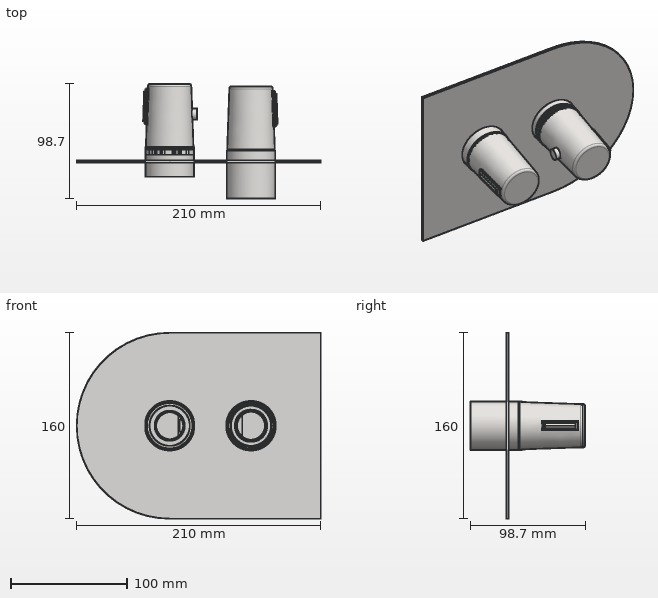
import cadquery as cq
import math


PLATE_RADIUS = 80.0
PLATE_LENGTH = 210.0
PLATE_THICKNESS = 2.0
KNOB_SPACING = 70.0
HOLE_DIA = 42.5

SLEEVE_DIA = 42.0
LEFT_SLEEVE_FRONT = -13.2
LEFT_SLEEVE_BACK = 12.2
LEFT_BORE_DIA = 40.5
LEFT_LIP_FRONT = 10.7
LIP_BORE_DIA = 34.9
RIGHT_SLEEVE_FRONT = -32.0
RIGHT_SLEEVE_BACK = 9.5
RIGHT_BORE_DIA = 34.9
RIGHT_SLEEVE_CHAMFER = 0.2
MOUTH_DIA = 40.7
MOUTH_DEPTH = 0.8

BUSHING_DIA = 39.0
BUSHING_END_DEPTH = 8.0
BUSHING_ENTRY_DIA = 36.1
ENTRY_CHAMFER_DEPTH = 1.7
ENTRY_DEPTH = 2.5
ENTRY_CONE_DEPTH = 3.5

TOOTH_FRONT = 5.7
TOOTH_BACK = 10.3
TOOTH_COUNT = 120
TOOTH_ROOT_DIA = 40.1
TOOTH_TIP_DIA = 38.8

KNOB_LENGTH = 54.2
LEFT_KNOB_FRONT = 12.5
RIGHT_KNOB_FRONT = 10.5
KNOB_BASE_DIA = 41.2
KNOB_TOP_DIA = 37.4
KNOB_TOP_FILLET = 2.0
SKIRT_BASE_DIA = 39.0
SKIRT_FLOOR_DIA = 34.5
SKIRT_DEPTH = 16.8
SPINDLE_DEPTH = 42.0
LEFT_HUB_DIA = 26.0
LEFT_SPINDLE_DIA = 23.0
RIGHT_HUB_DIA = 28.0
RIGHT_SPINDLE_DIA = 24.0
HUB_CHAMFER = 0.6
KEY_WIDTH = 15.1
KEY_THICKNESS = 5.2
KEY_OFFSET = 7.4
STEP_WIDTH = 10.0
STEP_OFFSET = 8.8
STEP_FRONT = 21.0

SCREW_DIA = 9.9
SCREW_HEIGHT = 28.1
SCREW_INNER = 10.5
SCREW_OUTER = 23.5

TAB_LENGTH = 31.3
TAB_WIDTH = 8.2
TAB_MIDDLE = 34.9
TAB_SEAT = 1.0
TAB_RISE = 2.0
TAB_BEVEL = 1.3
RIDGE_LENGTH = 25.6
RIDGE_WIDTH = 4.6
RIDGE_RISE = 1.0

TAPER_ANGLE = math.degrees(math.atan((KNOB_BASE_DIA - KNOB_TOP_DIA) / 2 / KNOB_LENGTH))


def cylinder(diameter, front, back):
    """Solid cylinder around the Y axis from Y = front to Y = back."""
    return cq.Workplane("XZ", origin=(0, front, 0)).circle(diameter / 2).extrude(front - back)


def tube(outer, inner, front, back):
    return cylinder(outer, front, back).cut(cylinder(inner, front, back))


def cone(front_diameter, back_diameter, length):
    """Cone frustum around the Y axis, from Y = 0 to Y = length."""
    outline = [(0, 0), (front_diameter / 2, 0), (back_diameter / 2, length), (0, length)]
    return cq.Workplane("XY").polyline(outline).close().revolve(360, (0, 0, 0), (0, 1, 0))


def make_plate():
    outline = (
        cq.Workplane("XZ", origin=(0, PLATE_THICKNESS / 2, 0))
        .moveTo(0, PLATE_RADIUS)
        .threePointArc((-PLATE_RADIUS, 0), (0, -PLATE_RADIUS))
        .lineTo(PLATE_LENGTH - PLATE_RADIUS, -PLATE_RADIUS)
        .lineTo(PLATE_LENGTH - PLATE_RADIUS, PLATE_RADIUS)
        .close()
    )
    plate = outline.extrude(PLATE_THICKNESS)
    hole = cylinder(HOLE_DIA, -PLATE_THICKNESS, PLATE_THICKNESS)
    return plate.cut(hole).cut(hole.translate((KNOB_SPACING, 0, 0)))


def make_left_sleeve():
    """Thin sleeve with an inward lip at its back end."""
    return tube(SLEEVE_DIA, LIP_BORE_DIA, LEFT_SLEEVE_FRONT, LEFT_SLEEVE_BACK).cut(
        cylinder(LEFT_BORE_DIA, LEFT_SLEEVE_FRONT, LEFT_LIP_FRONT)
    )


def make_toothed_ring():
    """Ring with a row of inward V teeth, seated in the left sleeve's bore."""
    half_pitch = math.pi / TOOTH_COUNT
    outline = []
    for tooth in range(TOOTH_COUNT):
        angle = 2 * half_pitch * tooth
        for radius, turn in ((TOOTH_ROOT_DIA / 2, 0), (TOOTH_TIP_DIA / 2, half_pitch)):
            outline.append((radius * math.cos(angle + turn), radius * math.sin(angle + turn)))
    opening = (
        cq.Workplane("XZ", origin=(0, TOOTH_FRONT, 0))
        .polyline(outline)
        .close()
        .extrude(TOOTH_FRONT - TOOTH_BACK)
    )
    return cylinder(LEFT_BORE_DIA, TOOTH_FRONT, TOOTH_BACK).cut(opening)


def make_right_sleeve():
    """Long sleeve on the right axis, with a flared mouth and a seat for the bushing behind it."""
    body = cylinder(SLEEVE_DIA, RIGHT_SLEEVE_FRONT, RIGHT_SLEEVE_BACK).edges().chamfer(RIGHT_SLEEVE_CHAMFER)
    bore = cylinder(RIGHT_BORE_DIA, RIGHT_SLEEVE_FRONT, RIGHT_SLEEVE_BACK)
    seat = cylinder(BUSHING_DIA, RIGHT_SLEEVE_FRONT, RIGHT_SLEEVE_FRONT + BUSHING_END_DEPTH)
    mouth = cone(MOUTH_DIA, BUSHING_DIA, MOUTH_DEPTH).translate((0, RIGHT_SLEEVE_FRONT, 0))
    return body.cut(bore).cut(seat).cut(mouth).translate((KNOB_SPACING, 0, 0))


def make_bushing():
    """Ring with a chamfered entry that narrows to the right sleeve's bore."""
    profile = [
        (BUSHING_DIA / 2, MOUTH_DEPTH),
        (BUSHING_DIA / 2, BUSHING_END_DEPTH),
        (RIGHT_BORE_DIA / 2, BUSHING_END_DEPTH),
        (RIGHT_BORE_DIA / 2, ENTRY_CONE_DEPTH),
        (BUSHING_ENTRY_DIA / 2, ENTRY_DEPTH),
        (BUSHING_ENTRY_DIA / 2, ENTRY_CHAMFER_DEPTH),
    ]
    ring = cq.Workplane("XY").polyline(profile).close().revolve(360, (0, 0, 0), (0, 1, 0))
    return ring.translate((KNOB_SPACING, RIGHT_SLEEVE_FRONT, 0))


def place_on_wall(shape):
    """Tilt a shape built around the X axis to the knob's taper and set it on the wall at +X."""
    middle_radius = KNOB_BASE_DIA / 2 - TAB_MIDDLE * math.tan(math.radians(TAPER_ANGLE))
    return shape.rotate((0, 0, 0), (0, 0, 1), TAPER_ANGLE).translate((middle_radius, TAB_MIDDLE, 0))


def make_pad():
    """Plain block of the tab, seated TAB_SEAT below X = 0."""
    return (
        cq.Workplane("XY")
        .box(TAB_SEAT + TAB_RISE, TAB_LENGTH, TAB_WIDTH)
        .translate(((TAB_RISE - TAB_SEAT) / 2, 0, 0))
    )


def make_tab():
    """Bevelled pad with a roof-shaped ridge, on the +X side of a knob based at Y = 0."""
    pad = make_pad().faces(">X").chamfer(TAB_BEVEL)
    roof = [(TAB_RISE, -RIDGE_WIDTH / 2), (TAB_RISE + RIDGE_RISE, 0), (TAB_RISE, RIDGE_WIDTH / 2)]
    ridge = (
        cq.Workplane("XZ", origin=(0, RIDGE_LENGTH / 2, 0)).polyline(roof).close().extrude(RIDGE_LENGTH)
    )
    return place_on_wall(pad.union(ridge))


def make_key(offset, width, front):
    """Block on the -X side of the spindle hole, from Y = front to the floor of the hole."""
    return (
        cq.Workplane("XY")
        .box(KEY_THICKNESS, SPINDLE_DEPTH - front, width, centered=(False, False, True))
        .translate((-offset - KEY_THICKNESS, front, 0))
    )


def make_knob(hub_diameter, spindle_diameter):
    """Hollow tapered knob based at Y = 0, with its tab seat at +X and its key at -X."""
    body = cone(KNOB_BASE_DIA, KNOB_TOP_DIA, KNOB_LENGTH).faces(">Y").edges().fillet(KNOB_TOP_FILLET)
    skirt = cone(SKIRT_BASE_DIA, SKIRT_FLOOR_DIA, SKIRT_DEPTH).cut(cylinder(hub_diameter, 0, SKIRT_DEPTH))
    spindle_hole = cylinder(spindle_diameter, 0, SPINDLE_DEPTH)
    hole_mouth = cone(spindle_diameter + 2 * HUB_CHAMFER, spindle_diameter, HUB_CHAMFER)
    key = make_key(KEY_OFFSET, KEY_WIDTH, SCREW_HEIGHT + SCREW_DIA / 2)
    return body.cut(skirt).cut(hole_mouth).cut(spindle_hole.cut(key)).cut(place_on_wall(make_pad()))


def make_left_knob():
    """Knob with a narrow step in front of its key and a blind hole for the screw."""
    step = make_key(STEP_OFFSET, STEP_WIDTH, STEP_FRONT)
    return make_knob(LEFT_HUB_DIA, LEFT_SPINDLE_DIA).union(step).cut(make_screw())


def make_screw():
    """Radial screw on the -X side of a knob based at Y = 0."""
    return (
        cq.Workplane("YZ", origin=(-SCREW_OUTER, SCREW_HEIGHT, 0))
        .circle(SCREW_DIA / 2)
        .extrude(SCREW_OUTER - SCREW_INNER)
    )


def at_left(shape):
    """Turn a knob part half round and move it to the left knob's place."""
    return shape.rotate((0, 0, 0), (0, 1, 0), 180).translate((0, LEFT_KNOB_FRONT, 0))


def at_right(shape):
    return shape.translate((KNOB_SPACING, RIGHT_KNOB_FRONT, 0))


plate = make_plate()
left_sleeve = make_left_sleeve()
right_sleeve = make_right_sleeve()
bushing = make_bushing()
toothed_ring = make_toothed_ring()
left_knob = at_left(make_left_knob())
right_knob = at_right(make_knob(RIGHT_HUB_DIA, RIGHT_SPINDLE_DIA))
screw = at_left(make_screw())
tabs = [place(make_tab()) for place in (at_left, at_right)]

result = cq.Compound.makeCompound(
    [
        plate.val(),
        left_sleeve.val(),
        right_sleeve.val(),
        bushing.val(),
        toothed_ring.val(),
        left_knob.val(),
        right_knob.val(),
        screw.val(),
        *[tab.val() for tab in tabs],
    ]
)